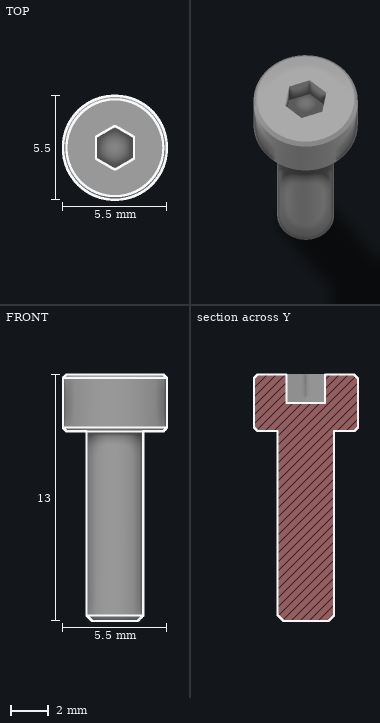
import cadquery as cq
import math

total_length = 13.0
head_height = 3.0
head_diameter = 5.5
shank_diameter = 3.0
shank_length = total_length - head_height

head_chamfer = 0.2
tip_chamfer = 0.3

socket_sides = 6
socket_turn = 180 / socket_sides
socket_across_flats = 2.0
socket_depth = 1.5
socket_across_corners = socket_across_flats / math.cos(math.pi / socket_sides)


def make_head():
    """Cylindrical head, chamfered on both rims, seated on Z = 0."""
    head = cq.Workplane("XY").circle(head_diameter / 2).extrude(head_height)
    return head.edges().chamfer(head_chamfer)


def make_shank():
    """Plain shank hanging below the head, chamfered at its tip."""
    shank = cq.Workplane("XY").circle(shank_diameter / 2).extrude(-shank_length)
    return shank.faces("<Z").edges().chamfer(tip_chamfer)


def make_socket():
    """Hexagonal cutter with two flats facing +X and -X."""
    return (
        cq.Workplane("XY")
        .workplane(offset=head_height)
        .transformed(rotate=(0, 0, socket_turn))
        .polygon(socket_sides, socket_across_corners)
        .extrude(-socket_depth)
    )


result = make_head().union(make_shank()).cut(make_socket())